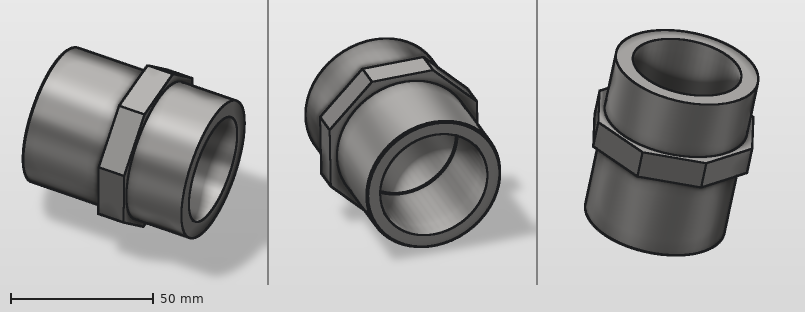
import cadquery as cq
import math

total_length = 62.4

spigot_length = 31.0
spigot_diameter = 50.0
spigot_bore = 40.0
spigot_chamfer = 0.5

collar_width = 9.9
collar_across_flats = 55.0
collar_sides = 8
collar_turn = -1.1
socket_diameter = 51.0
socket_bore = 38.8
socket_length = total_length - spigot_length - collar_width


def plane_at(x):
    return cq.Workplane("YZ", origin=(x, 0, 0))


def make_spigot():
    """Plain pipe with a chamfered outer rim at its free end."""
    pipe = plane_at(0).circle(spigot_diameter / 2).extrude(spigot_length)
    pipe = pipe.faces("<X").chamfer(spigot_chamfer)
    bore = plane_at(0).circle(spigot_bore / 2).extrude(spigot_length)
    return pipe.cut(bore)


def make_collar():
    """Octagonal collar and socket end with one through bore, butted against the end of the spigot."""
    across_corners = collar_across_flats / math.cos(math.pi / collar_sides)
    flats_square_to_axes = 180 / collar_sides
    octagon = (
        plane_at(spigot_length)
        .polygon(collar_sides, across_corners)
        .extrude(collar_width)
        .rotate((0, 0, 0), (1, 0, 0), flats_square_to_axes + collar_turn)
    )
    socket = plane_at(spigot_length + collar_width).circle(socket_diameter / 2).extrude(socket_length)
    bore = plane_at(spigot_length).circle(socket_bore / 2).extrude(collar_width + socket_length)
    return octagon.union(socket).cut(bore)


spigot = make_spigot()
collar = make_collar()
result = cq.Compound.makeCompound([spigot.val(), collar.val()])